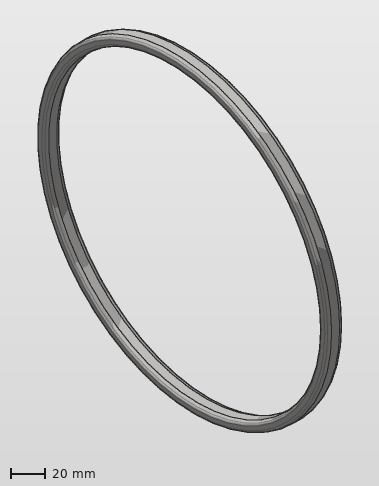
import cadquery as cq
import math

pitch_diameter = 247.65
ring_width = 7.94
ring_height = 12.7
flat_width = 5.23
seat_angle = 23.0
corner_radius = 1.6

pitch_radius = pitch_diameter / 2
seat_radial = (ring_width - flat_width) / 2
seat_axial = seat_radial / math.tan(math.radians(seat_angle))
half_band = ring_height / 2 - seat_axial


def octagon_section():
    """Octagonal section on the XY plane, with radius along X and axis along Y."""
    half_width = ring_width / 2
    half_flat = flat_width / 2
    half_height = ring_height / 2
    offsets = [
        (half_flat, half_height),
        (half_width, half_band),
        (half_width, -half_band),
        (half_flat, -half_height),
        (-half_flat, -half_height),
        (-half_width, -half_band),
        (-half_width, half_band),
        (-half_flat, half_height),
    ]
    points = [(pitch_radius + radial, axial) for radial, axial in offsets]
    return cq.Workplane("XY").polyline(points).close()


def gasket_ring():
    """Full ring with rounded edges on both flat end faces."""
    ring = octagon_section().revolve(360, (0, 0, 0), (0, 1, 0))
    return ring.faces("<Y or >Y").edges().fillet(corner_radius)


result = gasket_ring()